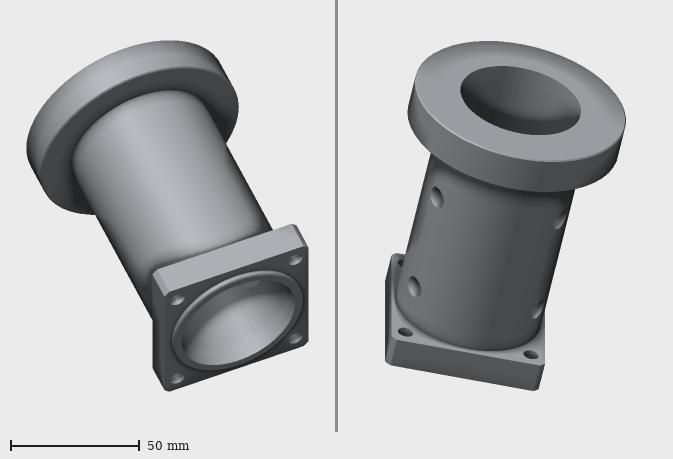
import cadquery as cq

total_length = 112.0
flange_length = 15.0
plate_thickness = 12.0
spigot_length = 2.0
plate_end = total_length - spigot_length
plate_start = plate_end - plate_thickness

flange_diameter = 84.0
tube_diameter = 58.0
spigot_diameter = 55.0
bore_diameter = 48.0
edge_chamfer = 0.5

plate_width = 61.0
plate_height = 63.5
plate_corner_diameter = 85.2
bolt_spacing = 50.0
bolt_hole_diameter = 6.2

cross_hole_diameter = 8.0
cross_hole_positions = (41.0, 83.0)
cross_hole_height = -15.0


def cylinder(diameter, start, end):
    """Solid cylinder on the X axis between two X positions."""
    return cq.Workplane("YZ", origin=(start, 0, 0)).circle(diameter / 2).extrude(end - start)


def mounting_plate():
    """Rectangular plate with its corners turned to a common circle."""
    plate = (
        cq.Workplane("YZ", origin=(plate_start, 0, 0))
        .rect(plate_width, plate_height)
        .extrude(plate_thickness)
    )
    plate = plate.intersect(cylinder(plate_corner_diameter, plate_start, plate_end))
    bolt_holes = (
        cq.Workplane("YZ", origin=(plate_start, 0, 0))
        .rect(bolt_spacing, bolt_spacing, forConstruction=True)
        .vertices()
        .circle(bolt_hole_diameter / 2)
        .extrude(plate_thickness)
    )
    return plate.cut(bolt_holes)


def cross_holes():
    """Cutters along Y that pass through both walls of the tube."""
    centers = [(x, cross_hole_height) for x in cross_hole_positions]
    return (
        cq.Workplane("XZ")
        .pushPoints(centers)
        .circle(cross_hole_diameter / 2)
        .extrude(tube_diameter, both=True)
    )


flange = cylinder(flange_diameter, 0, flange_length).edges().chamfer(edge_chamfer)
tube = cylinder(tube_diameter, 0, plate_end)
spigot = cylinder(spigot_diameter, plate_start, total_length).faces(">X").edges().chamfer(edge_chamfer)

body = flange.union(tube).union(mounting_plate()).union(spigot)
result = body.cut(cylinder(bore_diameter, 0, total_length)).cut(cross_holes())